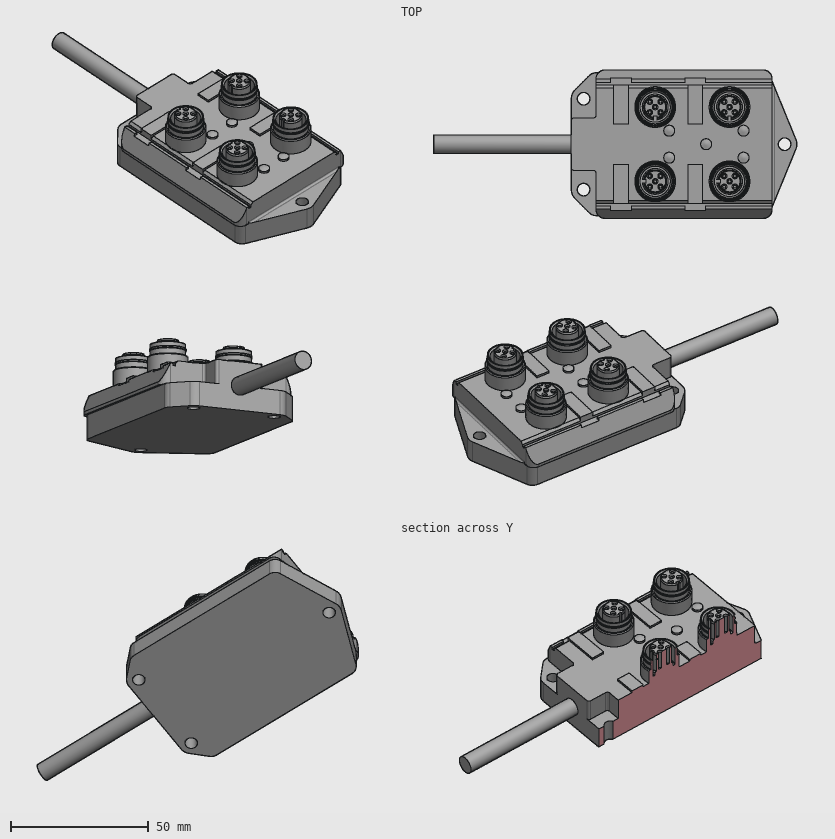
import cadquery as cq
import math

PLATE_TOP = 9.0
BODY_TOP = 18.0

PLATE_HALF_WIDTH = 26.0
PLATE_TIP_X = 82.0
PLATE_SHOULDER_X = 71.7
SHOULDER_FILLET = 3.5
SCREW_HOLE_DIA = 4.5
CABLE_END_HOLE_X = 4.5
CABLE_END_HOLE_Y = 16.5
TIP_HOLE_X = 77.5
TIP_RADIUS = PLATE_TIP_X - TIP_HOLE_X
EAR_RADIUS = CABLE_END_HOLE_X
EAR_ANGLE = math.radians(45)
EAR_CORNER_Y = CABLE_END_HOLE_Y + EAR_RADIUS * math.tan(EAR_ANGLE / 2)
EAR_SHOULDER_X = (PLATE_HALF_WIDTH - EAR_CORNER_Y) / math.tan(EAR_ANGLE)

BODY_START_X = 9.0
BODY_END_X = 73.0
BODY_HALF_WIDTH = 27.0
BODY_CORNER_RADIUS = 3.3
END_FOOT_RADIUS = 0.8
SKIRT_TOP = 10.2
RIB_OUTER_Y = 23.6
RIB_INNER_Y = 22.5
RIB_TOP = 17.0
GROOVE_INNER_Y = 21.5
GROOVE_FLOOR = 16.1
TOP_CHAMFER = 1.0

ENTRY_HALF_WIDTH = 9.5
ENTRY_LENGTH = 2 * BODY_START_X
ENTRY_FILLET = 1.0
CABLE_DIA = 6.8
CABLE_LENGTH = 50.0
CABLE_Z = PLATE_TOP

PITCH = 27.0
COLUMNS = 2
SOCKET_X = 30.5
SOCKET_Y = PITCH / 2
LABEL_X = 18.1
LABEL_WIDTH = 5.3
LABEL_INNER_Y = 7.3
LABEL_TOP = 18.8
NOTCH_WIDTH = 7.5

COLLAR_DIA = 14.8
COLLAR_TOP = 24.3
COLLAR_CHAMFER = 0.4
TUBE_DIA = 13.0
TUBE_TOP = 28.7
RING_DIA = 13.4
RING_BOTTOM = 26.3
RING_TOP = 27.2
BORE_DIA = 11.0
BORE_MOUTH_DIA = 12.2
BORE_FLOOR = 20.3
INSERT_DIA = 8.2
INSERT_TOP = 30.3
INSERT_CHAMFER_WIDTH = 0.3
INSERT_CHAMFER_HEIGHT = 0.7
INSERT_FOOT_DIA = 9.4
INSERT_FOOT_TOP = 22.0
INSERT_FOOT_CHAMFER = 0.5
PIN_HOLE_DIA = 1.1
PIN_HOLE_DEPTH = 8.0
PIN_COUNTERSINK_DIA = 2.0
PIN_CIRCLE_RADIUS = 2.75
KEYWAY_WIDTH = 1.2
KEYWAY_DEPTH = 0.8
KEY_ANGLES = {-1: 180, 1: -90}

LENS_DIA = 4.0
LENS_RIM = 18.8
LENS_TOP = 19.3
LENS_X = 35.6
LENS_Y = 4.9
POWER_LENS_X = 49.0


def make_plate():
    outline = [
        (0, -EAR_CORNER_Y),
        (EAR_SHOULDER_X, -PLATE_HALF_WIDTH),
        (PLATE_SHOULDER_X, -PLATE_HALF_WIDTH),
        (PLATE_SHOULDER_X, PLATE_HALF_WIDTH),
        (EAR_SHOULDER_X, PLATE_HALF_WIDTH),
        (0, EAR_CORNER_Y),
    ]
    plate = cq.Workplane("XY").polyline(outline).close().extrude(PLATE_TOP)
    return plate.edges("|Z and <X").fillet(EAR_RADIUS)


def make_tip(height):
    """Pointed end: tangents from the round tip back to the sides of the plate."""
    reach = math.hypot(TIP_HOLE_X - PLATE_SHOULDER_X, PLATE_HALF_WIDTH)
    bearing = math.atan2(PLATE_HALF_WIDTH, PLATE_SHOULDER_X - TIP_HOLE_X)
    angle = bearing - math.acos(TIP_RADIUS / reach)
    touch_x = TIP_HOLE_X + TIP_RADIUS * math.cos(angle)
    touch_y = TIP_RADIUS * math.sin(angle)
    return (
        cq.Workplane("XY")
        .moveTo(PLATE_SHOULDER_X, -PLATE_HALF_WIDTH)
        .lineTo(touch_x, -touch_y)
        .threePointArc((PLATE_TIP_X, 0), (touch_x, touch_y))
        .lineTo(PLATE_SHOULDER_X, PLATE_HALF_WIDTH)
        .close()
        .extrude(height)
    )


def make_base():
    base = make_plate().union(make_tip(PLATE_TOP))
    corners = cq.selectors.BoxSelector(
        (EAR_SHOULDER_X - SHOULDER_FILLET, -BODY_HALF_WIDTH, 0),
        (PLATE_SHOULDER_X + SHOULDER_FILLET, BODY_HALF_WIDTH, PLATE_TOP),
    )
    return base.edges("|Z").edges(corners).fillet(SHOULDER_FILLET)


def make_housing():
    half_profile = [
        (BODY_HALF_WIDTH, PLATE_TOP),
        (BODY_HALF_WIDTH, SKIRT_TOP),
        (RIB_OUTER_Y, RIB_TOP),
        (RIB_INNER_Y, RIB_TOP),
        (RIB_INNER_Y, GROOVE_FLOOR),
        (GROOVE_INNER_Y, GROOVE_FLOOR),
        (GROOVE_INNER_Y, BODY_TOP - TOP_CHAMFER),
        (GROOVE_INNER_Y - TOP_CHAMFER, BODY_TOP),
    ]
    profile = half_profile + [(-y, z) for y, z in reversed(half_profile)]
    length = BODY_END_X - BODY_START_X
    bar = cq.Workplane("YZ").workplane(offset=BODY_START_X).polyline(profile).close().extrude(length)
    rounded_block = (
        cq.Workplane("XY", origin=(BODY_START_X, 0, 0))
        .box(length, 2 * BODY_HALF_WIDTH, BODY_TOP, centered=(False, True, False))
        .edges("|Z")
        .fillet(BODY_CORNER_RADIUS)
    )
    return bar.intersect(rounded_block)


def make_end_foot():
    """Concave fillet where the end face of the housing meets the pointed plate."""
    foot = (
        cq.Workplane("XZ", origin=(0, BODY_HALF_WIDTH, 0))
        .moveTo(BODY_END_X, PLATE_TOP)
        .lineTo(BODY_END_X + END_FOOT_RADIUS, PLATE_TOP)
        .radiusArc((BODY_END_X, PLATE_TOP + END_FOOT_RADIUS), END_FOOT_RADIUS)
        .close()
        .extrude(2 * BODY_HALF_WIDTH)
    )
    return foot.intersect(make_tip(BODY_TOP))


def add_entry_block(body):
    block = (
        cq.Workplane("XY", origin=(0, 0, PLATE_TOP))
        .box(ENTRY_LENGTH, 2 * ENTRY_HALF_WIDTH, BODY_TOP - PLATE_TOP, centered=(False, True, False))
        .edges("|Z and <X")
        .fillet(ENTRY_FILLET)
    )
    inner_corners = cq.selectors.BoxSelector(
        (BODY_START_X - ENTRY_FILLET, -ENTRY_HALF_WIDTH - ENTRY_FILLET, PLATE_TOP),
        (BODY_START_X + ENTRY_FILLET, ENTRY_HALF_WIDTH + ENTRY_FILLET, BODY_TOP),
    )
    return body.union(block).edges("|Z").edges(inner_corners).fillet(ENTRY_FILLET)


def make_cable():
    return (
        cq.Workplane("YZ", origin=(0, 0, CABLE_Z))
        .circle(CABLE_DIA / 2)
        .extrude(-CABLE_LENGTH)
    )


def make_label(x, side):
    depth = GROOVE_INNER_Y - LABEL_INNER_Y
    y = side * (LABEL_INNER_Y + GROOVE_INNER_Y) / 2
    return cq.Workplane("XY", origin=(x, y, GROOVE_FLOOR)).box(
        LABEL_WIDTH, depth, LABEL_TOP - GROOVE_FLOOR, centered=(True, True, False)
    )


def make_notch(x, side):
    depth = BODY_HALF_WIDTH - GROOVE_INNER_Y
    y = side * (BODY_HALF_WIDTH + GROOVE_INNER_Y) / 2
    return cq.Workplane("XY", origin=(x, y, GROOVE_FLOOR)).box(
        NOTCH_WIDTH, depth, BODY_TOP - GROOVE_FLOOR, centered=(True, True, False)
    )


def make_cylinder(diameter, bottom, top):
    return cq.Workplane("XY", origin=(0, 0, bottom)).circle(diameter / 2).extrude(top - bottom)


def make_countersinks(spots, top, mouth_dia, hole_dia):
    """Cones at 45 degrees that narrow downward from mouth_dia to hole_dia."""
    return (
        cq.Workplane("XY", origin=(0, 0, top))
        .pushPoints(spots)
        .circle(mouth_dia / 2)
        .extrude(-(mouth_dia - hole_dia) / 2, taper=45)
    )


def make_socket(key_angle):
    """Round socket on the Z axis with its keyway turned to key_angle degrees from +X."""
    collar = make_cylinder(COLLAR_DIA, BODY_TOP, COLLAR_TOP).faces(">Z").chamfer(COLLAR_CHAMFER)
    tube = make_cylinder(TUBE_DIA, BODY_TOP, TUBE_TOP)
    ring = make_cylinder(RING_DIA, RING_BOTTOM, RING_TOP)
    ring = ring.faces("<Z or >Z").chamfer((RING_DIA - TUBE_DIA) / 2)
    bore = make_cylinder(BORE_DIA, BORE_FLOOR, TUBE_TOP)
    mouth = make_countersinks([(0, 0)], TUBE_TOP, BORE_MOUTH_DIA, BORE_DIA)
    shell = collar.union(tube).union(ring).cut(bore).cut(mouth)

    insert = make_cylinder(INSERT_DIA, BODY_TOP, INSERT_TOP)
    insert = insert.faces(">Z").edges().chamfer(INSERT_CHAMFER_HEIGHT, INSERT_CHAMFER_WIDTH)
    foot = make_cylinder(INSERT_FOOT_DIA, BODY_TOP, INSERT_FOOT_TOP)
    insert = insert.union(foot.faces(">Z").chamfer(INSERT_FOOT_CHAMFER))
    diagonal = PIN_CIRCLE_RADIUS / math.sqrt(2)
    pin_spots = [(0, 0)] + [(sx * diagonal, sy * diagonal) for sx in (-1, 1) for sy in (-1, 1)]
    pins = (
        cq.Workplane("XY", origin=(0, 0, INSERT_TOP))
        .pushPoints(pin_spots)
        .circle(PIN_HOLE_DIA / 2)
        .extrude(-PIN_HOLE_DEPTH)
    )
    countersinks = make_countersinks(pin_spots, INSERT_TOP, PIN_COUNTERSINK_DIA, PIN_HOLE_DIA)
    keyway = cq.Workplane("XY", origin=(INSERT_DIA / 2, 0, BORE_FLOOR)).box(
        2 * KEYWAY_DEPTH, KEYWAY_WIDTH, INSERT_TOP - BORE_FLOOR, centered=(True, True, False)
    )
    insert = insert.cut(pins).cut(countersinks).cut(keyway)
    return shell.union(insert).rotate((0, 0, 0), (0, 0, 1), key_angle)


def make_lens(x, y):
    return (
        cq.Workplane("XZ")
        .moveTo(0, BODY_TOP)
        .lineTo(LENS_DIA / 2, BODY_TOP)
        .lineTo(LENS_DIA / 2, LENS_RIM)
        .lineTo(0, LENS_TOP)
        .close()
        .revolve(360, (0, 0, 0), (0, 1, 0))
        .translate((x, y, 0))
    )


def cut_screw_holes(body):
    spots = [
        (CABLE_END_HOLE_X, -CABLE_END_HOLE_Y),
        (CABLE_END_HOLE_X, CABLE_END_HOLE_Y),
        (TIP_HOLE_X, 0),
    ]
    holes = cq.Workplane("XY").pushPoints(spots).circle(SCREW_HOLE_DIA / 2).extrude(PLATE_TOP)
    return body.cut(holes)


def build():
    body = add_entry_block(make_base().union(make_housing()).union(make_end_foot()))
    body = cut_screw_holes(body).union(make_cable())
    for column in range(COLUMNS):
        shift = column * PITCH
        for side, key_angle in KEY_ANGLES.items():
            body = body.cut(make_notch(LABEL_X + shift, side))
            body = body.union(make_label(LABEL_X + shift, side))
            body = body.union(make_socket(key_angle).translate((SOCKET_X + shift, side * SOCKET_Y, 0)))
            body = body.union(make_lens(LENS_X + shift, side * LENS_Y))
    return body.union(make_lens(POWER_LENS_X, 0))


result = build()